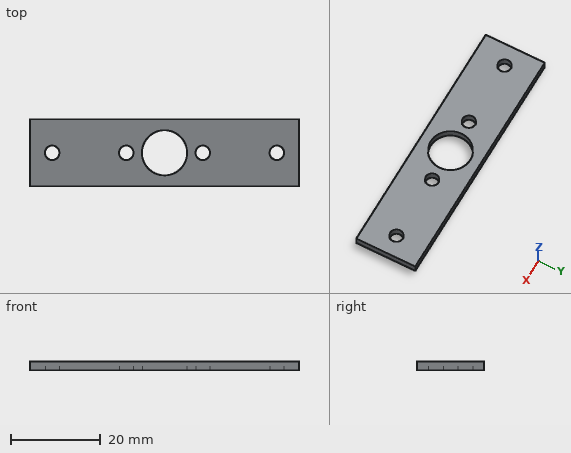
import cadquery as cq

length = 60.0
width = length / 4
thickness = 2.0

center_bore_diameter = 10.0
screw_hole_diameter = 3.2
inner_hole_offset = 8.5
outer_hole_offset = 25.0

screw_hole_centers = [
    (side * offset, 0)
    for offset in (inner_hole_offset, outer_hole_offset)
    for side in (-1, 1)
]

plate = cq.Workplane("XY").box(length, width, thickness)

bored_plate = plate.faces(">Z").workplane().hole(center_bore_diameter)
result = (
    bored_plate.faces(">Z")
    .workplane(origin=(0, 0, 0))
    .pushPoints(screw_hole_centers)
    .hole(screw_hole_diameter)
)